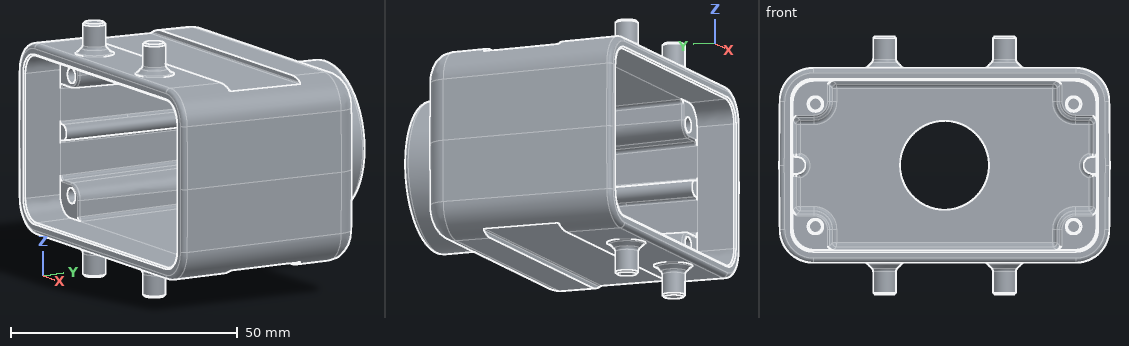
import cadquery as cq
import math


BODY_WIDTH = 73.0
MOUTH_HEIGHT = 43.1
BODY_DEPTH = 45.0
TOTAL_DEPTH = 58.0
PIN_SPAN = 57.0

OUTER_DRAFT = math.tan(math.radians(0.5))
CORNER_RADIUS = 7.45
REAR_RADIUS = 4.7
RIM_RADIUS = 1.1

COLLAR_RADIUS = 17.0
COLLAR_EDGE_RADIUS = 1.1
COLLAR_FLARE = 0.95
BORE_RADIUS = 9.8

MOUTH_WALL_X = 2.9
MOUTH_WALL_Z = 2.8
MOUTH_DRAFT_ANGLE = 1.0
LIP_CHAMFER = 0.4
MOUTH_DEPTH = 9.1
REAR_WALL = 2.5
INNER_DRAFT_ANGLE = 1.2
FLOOR_RADIUS = 0.95

BOSS_RADIUS = 3.4
BOSS_EDGE_RADIUS = 0.45
BOSS_ROOT_RADIUS = 0.9
SCREW_X = 28.5
SCREW_Z = 13.5
SCREW_RADIUS = 1.75
SCREW_DEPTH = 17.5
RIB_RADIUS = 1.8
RIB_ROOT_RADIUS = 0.6
RIB_REACH = 30.65

RECESS_START = 13.95
RECESS_END = 32.2
RECESS_DEPTH = 1.25
RECESS_SLOPE = 0.15
RECESS_FILLET = 0.3

PIN_X = 13.2
PIN_Y = 6.1
PIN_RADIUS = 2.55
PIN_TIP_CHAMFER = 0.45
PIN_BLEND_RADIUS = 1.0
PIN_FOOT_RADIUS = 0.9
PIN_CONE_RUN = 0.95

HALF_X = BODY_WIDTH / 2
HALF_Z = MOUTH_HEIGHT / 2
CORNER_X = HALF_X - OUTER_DRAFT * HALF_Z - CORNER_RADIUS
CORNER_Z = HALF_Z - CORNER_RADIUS
MOUTH_HALF_X = HALF_X - MOUTH_WALL_X
MOUTH_HALF_Z = HALF_Z - MOUTH_WALL_Z
FLOOR_Y = BODY_DEPTH - REAR_WALL
BOSS_INNER_X = CORNER_X - BOSS_RADIUS
BOSS_INNER_Z = CORNER_Z - BOSS_RADIUS
DEEP_LENGTH = FLOOR_Y - MOUTH_DEPTH
SIDES = (-1, 1)


def face_height(y):
    """Half height of the drafted wide faces at depth y."""
    return HALF_Z - OUTER_DRAFT * y


def plane_at(y):
    """Plane facing +Y at depth y, with local x along -X and local y along Z."""
    return cq.Workplane(cq.Plane(origin=(0, y, 0), xDir=(-1, 0, 0), normal=(0, 1, 0)))


def make_body():
    """Solid block whose side walls lean inwards from mid height and whose wide faces taper rearwards."""
    edge_x = HALF_X - OUTER_DRAFT * HALF_Z
    section = [
        (-HALF_X, 0), (-edge_x, HALF_Z), (edge_x, HALF_Z),
        (HALF_X, 0), (edge_x, -HALF_Z), (-edge_x, -HALF_Z),
    ]
    prism = plane_at(0).polyline(section).close().extrude(BODY_DEPTH)
    rear_z = face_height(BODY_DEPTH)
    side = [(0, -HALF_Z), (BODY_DEPTH, -rear_z), (BODY_DEPTH, rear_z), (0, HALF_Z)]
    wedge = cq.Workplane("YZ").polyline(side).close().extrude(HALF_X, both=True)
    body = prism.intersect(wedge)

    probe = 0.4
    for sx in SIDES:
        for sz in SIDES:
            corner = cq.selectors.BoxSelector(
                (sx * (edge_x - probe), 0, sz * (rear_z - probe)),
                (sx * (edge_x + probe), BODY_DEPTH, sz * (HALF_Z + probe)),
            )
            body = body.edges(corner).fillet(CORNER_RADIUS)
    return body.faces(">Y").edges().fillet(REAR_RADIUS).faces("<Y").edges().fillet(RIM_RADIUS)


def make_collar():
    """Collar with a short flare that sinks into the rear of the body."""
    flare_radius = COLLAR_RADIUS + COLLAR_FLARE
    profile = [
        (0, FLOOR_Y), (flare_radius, FLOOR_Y), (flare_radius, BODY_DEPTH),
        (COLLAR_RADIUS, BODY_DEPTH + COLLAR_FLARE), (COLLAR_RADIUS, TOTAL_DEPTH), (0, TOTAL_DEPTH),
    ]
    collar = cq.Workplane("XY").polyline(profile).close().revolve(360, (0, 0), (0, 1))
    return collar.faces(">Y").edges().fillet(COLLAR_EDGE_RADIUS)


def tapered_opening(half_x, half_z, depth, angle):
    """Opening that narrows from the rim inwards, its corners concentric with the outer corners."""
    return (
        plane_at(0)
        .sketch().rect(2 * half_x, 2 * half_z)
        .vertices().fillet(half_x - CORNER_X).finalize()
        .extrude(depth, taper=angle)
    )


def make_mouth():
    """Front part of the cavity with a chamfered lip at the rim."""
    mouth = tapered_opening(MOUTH_HALF_X, MOUTH_HALF_Z, MOUTH_DEPTH, MOUTH_DRAFT_ANGLE)
    lip = tapered_opening(MOUTH_HALF_X + LIP_CHAMFER, MOUTH_HALF_Z + LIP_CHAMFER, LIP_CHAMFER, 45)
    return mouth.union(lip)


def make_boss(sx, sz):
    """Corner boss that widens towards the cavity floor and reaches well into the outer walls."""
    size_x = HALF_X + BOSS_RADIUS - BOSS_INNER_X
    size_z = HALF_Z + BOSS_RADIUS - BOSS_INNER_Z
    return (
        plane_at(MOUTH_DEPTH)
        .center(-sx * (BOSS_INNER_X + size_x / 2), sz * (BOSS_INNER_Z + size_z / 2))
        .sketch().rect(size_x, size_z).vertices().fillet(BOSS_RADIUS).finalize()
        .extrude(DEEP_LENGTH, taper=-INNER_DRAFT_ANGLE)
        .faces("<Y").edges().fillet(BOSS_EDGE_RADIUS)
    )


def rib_half_profile():
    """Half section along a rib: straight side and a flare at the cavity floor."""
    return (
        cq.Workplane("XY").moveTo(0, MOUTH_DEPTH)
        .lineTo(RIB_RADIUS, MOUTH_DEPTH)
        .lineTo(RIB_RADIUS, FLOOR_Y - FLOOR_RADIUS)
        .tangentArcPoint((RIB_RADIUS + FLOOR_RADIUS, FLOOR_Y), relative=False)
        .lineTo(0, FLOOR_Y).close()
    )


def make_rib(sx):
    """Round-nosed rib at mid height of a side wall."""
    nose_x = RIB_REACH + RIB_RADIUS
    nose = rib_half_profile().revolve(360, (0, 0), (0, 1))
    flank = rib_half_profile().extrude(HALF_X - nose_x).rotate((0, 0, 0), (0, 1, 0), 90)
    rib = nose.union(flank).union(flank.mirror("XY"))
    if sx < 0:
        rib = rib.mirror("YZ")
    return rib.translate((sx * nose_x, 0, 0))


def make_deep_cavity():
    """Drafted inner cavity behind the mouth, less the corner bosses and the side ribs."""
    mouth_run = MOUTH_DEPTH * math.tan(math.radians(MOUTH_DRAFT_ANGLE))
    half_x = MOUTH_HALF_X - mouth_run
    half_z = MOUTH_HALF_Z - mouth_run
    cavity = (
        plane_at(MOUTH_DEPTH).rect(2 * half_x, 2 * half_z)
        .extrude(DEEP_LENGTH, taper=INNER_DRAFT_ANGLE)
    )
    for sx in SIDES:
        for sz in SIDES:
            cavity = cavity.cut(make_boss(sx, sz))

    middle_y = (MOUTH_DEPTH + FLOOR_Y) / 2
    for sx in SIDES:
        for sz in SIDES:
            side_root = (sx * half_x, middle_y, sz * BOSS_INNER_Z)
            wide_root = (sx * BOSS_INNER_X, middle_y, sz * half_z)
            for root in (side_root, wide_root):
                root_edge = cq.selectors.NearestToPointSelector(root)
                cavity = cavity.edges(root_edge).fillet(BOSS_ROOT_RADIUS)

    cavity = cavity.faces(">Y").edges().fillet(FLOOR_RADIUS)
    for sx in SIDES:
        cavity = cavity.cut(make_rib(sx))
        for sz in SIDES:
            rib_root = cq.selectors.NearestToPointSelector((sx * half_x, middle_y, sz * RIB_RADIUS))
            cavity = cavity.edges(rib_root).fillet(RIB_ROOT_RADIUS)
    return cavity


def make_screw_holes():
    """Blind holes in the boss fronts, slightly tapered."""
    centres = [(sx * SCREW_X, sz * SCREW_Z) for sx in SIDES for sz in SIDES]
    return (
        plane_at(MOUTH_DEPTH).pushPoints(centres).circle(SCREW_RADIUS)
        .extrude(SCREW_DEPTH, taper=INNER_DRAFT_ANGLE)
    )


def make_recess():
    """Label recess across the top face, its floor parallel to the drafted face."""
    floor_start = RECESS_START + RECESS_SLOPE
    floor_end = RECESS_END - RECESS_SLOPE
    profile = [
        (RECESS_START, face_height(RECESS_START)),
        (floor_start, face_height(floor_start) - RECESS_DEPTH),
        (floor_end, face_height(floor_end) - RECESS_DEPTH),
        (RECESS_END, face_height(RECESS_END)),
    ]
    recess = cq.Workplane("YZ").polyline(profile).close().extrude(HALF_X, both=True)
    return recess.faces("<Z").edges("|X").fillet(RECESS_FILLET)


def make_pin(x):
    """Pin on the top face, its 45 degree foot blended into the shaft and the face."""
    surface = face_height(PIN_Y)
    root = surface - MOUTH_WALL_Z / 2
    tip = PIN_SPAN / 2
    side = 1 - math.cos(math.pi / 4)
    rise = math.sin(math.pi / 4)
    cone_top_r = PIN_RADIUS + side * PIN_BLEND_RADIUS
    cone_low_r = cone_top_r + PIN_CONE_RUN
    cone_low_z = surface + side * PIN_FOOT_RADIUS
    cone_top_z = cone_low_z + PIN_CONE_RUN
    foot_r = cone_low_r + rise * PIN_FOOT_RADIUS
    profile = (
        cq.Workplane("XZ").moveTo(0, root).lineTo(0, tip)
        .lineTo(PIN_RADIUS - PIN_TIP_CHAMFER, tip).lineTo(PIN_RADIUS, tip - PIN_TIP_CHAMFER)
        .lineTo(PIN_RADIUS, cone_top_z + rise * PIN_BLEND_RADIUS)
        .tangentArcPoint((cone_top_r, cone_top_z), relative=False)
        .lineTo(cone_low_r, cone_low_z)
        .tangentArcPoint((foot_r, surface), relative=False)
        .lineTo(foot_r, root).close()
    )
    return profile.revolve(360, (0, 0), (0, 1)).translate((x, PIN_Y, 0))


result = make_body().union(make_collar())
result = result.cut(make_mouth()).cut(make_deep_cavity()).cut(make_screw_holes())
result = result.cut(plane_at(0).circle(BORE_RADIUS).extrude(TOTAL_DEPTH))

recess = make_recess()
result = result.cut(recess).cut(recess.mirror("XY"))

for pin_x in (-PIN_X, PIN_X):
    pin = make_pin(pin_x)
    result = result.union(pin).union(pin.mirror("XY"))